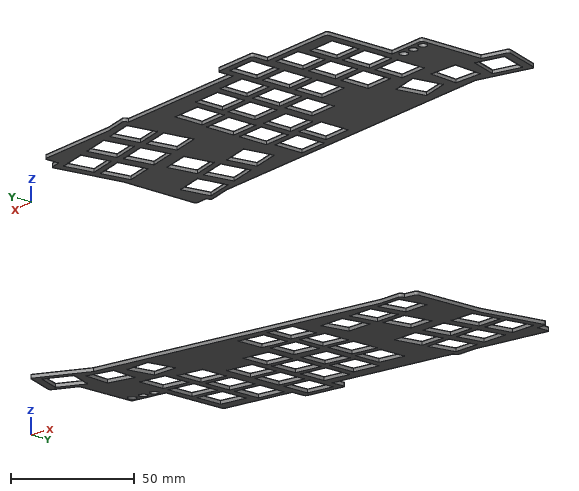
import cadquery as cq
import math

plate_length = 216.5
plate_width = 96.0
plate_thickness = 1.6
corner_radius = 1.0

cutout_size = 14.0
three_row_span = 34.0
row_pitch = three_row_span / 2

body_left = -96.2
body_right = 102.7
body_top = 40.0
body_bottom = -38.8
led_shelf_top = 6.0
key_block_left = -77.3
top_tab_left = -39.5
top_tab_right = -17.3
top_tab_top = plate_width / 2

upright_columns = [
    (-66.3, 27.0, 3),
    (-48.3, 30.0, 3),
    (-28.4, 38.0, 3),
    (-10.2, 28.2, 3),
    (7.8, 26.2, 2),
    (25.8, 22.0, 1),
    (26.6, 5.0, 2),
]
lower_keys = [(8.9, -10.2), (7.0, -27.0), (24.7, -29.0)]

thumb_tilt = 20
thumb_keys = [
    (-94.9, -35.0, thumb_tilt),
    (-76.2, -28.0, 5),
    (-55.7, -26, -10),
]

thumb_tab_length = 30.3
thumb_tab_left_y = -30.0

cluster_tilt = -10
cluster_column_pitch = 19.0
cluster_group_offset = 37.0
cluster_side_margin = 10.8
cluster_top_margin = 10.6
cluster_bottom_margin = 9.3
cluster_right_y = 31.0

led_diameter = 4.0
led_pitch = 6.0
led_middle_x = -86.6
led_y = 2.5


def rotated(x, y, degrees):
    """Turn the vector (x, y) counterclockwise about the origin."""
    c = math.cos(math.radians(degrees))
    s = math.sin(math.radians(degrees))
    return x * c - y * s, x * s + y * c


def rounded_slab(center, length, width, degrees):
    """A tilted rectangular slab of plate thickness with rounded corners."""
    return (
        cq.Workplane("XY")
        .rect(length, width)
        .extrude(plate_thickness)
        .edges("|Z")
        .fillet(corner_radius)
        .rotate((0, 0, 0), (0, 0, 1), degrees)
        .translate((*center, 0))
    )


def main_body():
    outline = [
        (body_left, body_bottom),
        (body_right, body_bottom),
        (body_right, body_top),
        (top_tab_right, body_top),
        (top_tab_right, top_tab_top),
        (top_tab_left, top_tab_top),
        (top_tab_left, body_top),
        (key_block_left, body_top),
        (key_block_left, led_shelf_top),
        (body_left, led_shelf_top),
    ]
    rounded_corners = [
        (body_right, body_bottom),
        (body_right, body_top),
        (top_tab_right, top_tab_top),
        (top_tab_left, top_tab_top),
        (key_block_left, body_top),
        (body_left, led_shelf_top),
    ]
    body = cq.Workplane("XY").polyline(outline).close().extrude(plate_thickness)
    for x, y in rounded_corners:
        nearest = cq.selectors.NearestToPointSelector((x, y, plate_thickness / 2))
        body = body.edges("|Z").edges(nearest).fillet(corner_radius)
    return body


def thumb_tab():
    left_arc_x = corner_radius - plate_length / 2
    bottom_arc_y = corner_radius - plate_width / 2
    arc_distance = (thumb_tab_left_y - bottom_arc_y) / math.cos(math.radians(thumb_tilt))
    width = arc_distance + 2 * corner_radius
    dx, dy = rotated(thumb_tab_length / 2 - corner_radius, -arc_distance / 2, thumb_tilt)
    center = (left_arc_x + dx, thumb_tab_left_y + dy)
    return rounded_slab(center, thumb_tab_length, width, thumb_tilt)


cluster_arc = (plate_length / 2 - corner_radius, cluster_right_y)
cluster_length = 2 * cluster_column_pitch + 2 * cluster_side_margin
cluster_key_span = cluster_group_offset + row_pitch
cluster_width = cluster_top_margin + cluster_key_span + cluster_bottom_margin


def cluster_point(x, y):
    """Plate position of a point given from the cluster's right-hand top corner."""
    dx, dy = rotated(x + corner_radius, y + corner_radius, cluster_tilt)
    return cluster_arc[0] + dx, cluster_arc[1] + dy


def cluster_slab():
    center = cluster_point(-cluster_length / 2, -cluster_width / 2)
    return rounded_slab(center, cluster_length, cluster_width, cluster_tilt)


def cluster_keys():
    """Two full rows, a single key in the middle column, and a full bottom row."""
    middle_only = [1]
    all_columns = [0, 1, 2]
    rows = [
        (0, all_columns),
        (row_pitch, all_columns),
        (cluster_group_offset, middle_only),
        (cluster_group_offset + row_pitch, all_columns),
    ]
    keys = []
    for depth, columns in rows:
        for column in columns:
            x = -cluster_side_margin - column * cluster_column_pitch
            y = -cluster_top_margin - depth
            keys.append((*cluster_point(x, y), cluster_tilt))
    return keys


def upright_keys():
    keys = [(x, y, 0) for x, y in lower_keys]
    for x, top_y, count in upright_columns:
        for row in range(count):
            keys.append((x, top_y - row * row_pitch, 0))
    return keys


def key_cutout(x, y, degrees):
    return (
        cq.Workplane("XY")
        .rect(cutout_size, cutout_size)
        .extrude(plate_thickness)
        .rotate((0, 0, 0), (0, 0, 1), degrees)
        .translate((x, y, 0))
    )


plate = main_body().union(thumb_tab()).union(cluster_slab())

for x, y, degrees in upright_keys() + thumb_keys + cluster_keys():
    plate = plate.cut(key_cutout(x, y, degrees))

led_holes = (
    cq.Workplane("XY")
    .pushPoints([(led_middle_x + step * led_pitch, led_y) for step in (-1, 0, 1)])
    .circle(led_diameter / 2)
    .extrude(plate_thickness)
)
result = plate.cut(led_holes)